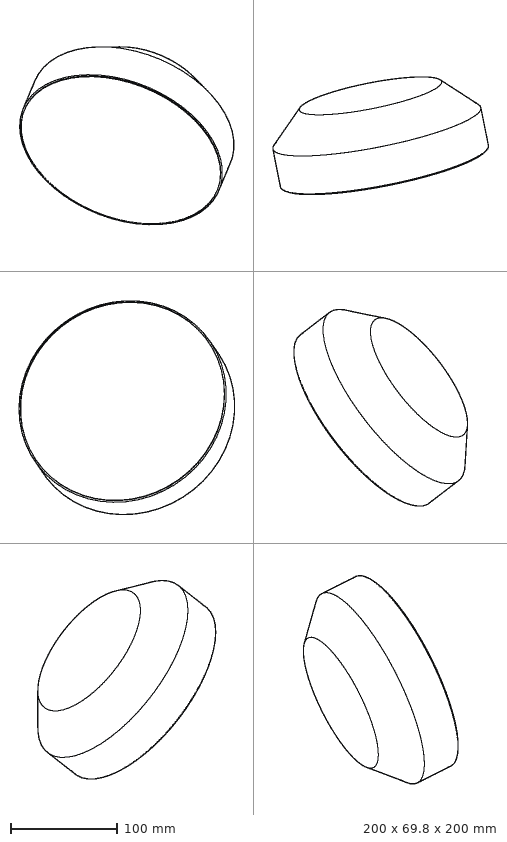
import cadquery as cq

outer_diameter = 200.0
total_depth = 69.8
taper_depth = 31.5
rim_width = 1.5
disc_thickness = 1.0

outer_radius = outer_diameter / 2
back_radius = outer_radius - taper_depth
disc_radius = outer_radius - rim_width
housing_front_y = disc_thickness
taper_start_y = total_depth - taper_depth


def make_housing():
    """Round housing: a cylinder at the front that tapers to a smaller flat back."""
    half_profile = [
        (0, housing_front_y),
        (-outer_radius, housing_front_y),
        (-outer_radius, taper_start_y),
        (-back_radius, total_depth),
        (0, total_depth),
    ]
    axis_start = (0, 0)
    axis_end = (0, 1)
    return cq.Workplane("XY").polyline(half_profile).close().revolve(360, axis_start, axis_end)


def make_disc():
    """Thin round disc seated on the front face of the housing."""
    return cq.Workplane("XZ").circle(disc_radius).extrude(-disc_thickness)


housing = make_housing()
disc = make_disc()

result = cq.Compound.makeCompound([housing.val(), disc.val()])